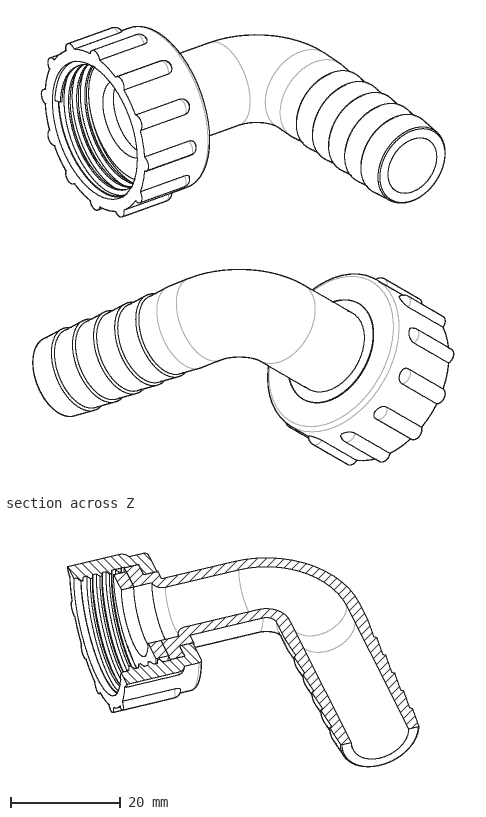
import cadquery as cq
import math


OVERALL_LENGTH = 61.2
DIAGONAL = math.sqrt(0.5)

NUT_RADIUS = 15.5
NUT_LENGTH = 15.0
NUT_EDGE_FILLET = 0.75
MOUTH_RADIUS = 13.15
MOUTH_DEPTH = 1.35
NUT_BORE_RADIUS = 13.0
NUT_BORE_DEPTH = 12.5

RIB_COUNT = 12
RIB_RADIUS = 1.5
RIB_TIP_DIAMETER = 33.25
RIB_TIP_RADIUS = RIB_TIP_DIAMETER / 2
RIB_LENGTH = 10.0
RIB_CENTRE_RADIUS = RIB_TIP_RADIUS - RIB_RADIUS

THREAD_PITCH = 1.85
THREAD_CREST_RADIUS = 12.1
THREAD_CREST_WIDTH = 0.35
THREAD_ROOT_WIDTH = 1.45
THREAD_START = 1.2
THREAD_END = 8.6
THREAD_EMBED = 0.35
THREAD_START_ANGLE = 180

WASHER_RADIUS = 11.9
WASHER_FACE = 7.2
WASHER_THICKNESS = 2.4
WASHER_BACK = WASHER_FACE + WASHER_THICKNESS

PIPE_RADIUS = 8.0
PIPE_BORE_RADIUS = 5.5
INLET_RADIUS = 7.45
INLET_DEPTH = 13.1
INLET_ROUNDING = INLET_RADIUS - PIPE_BORE_RADIUS
COLLAR_RADIUS = 10.1
COLLAR_END = 15.2
BEND_RADIUS = 10.0
TAIL_AXIS_Y = 39.2
BEND_START_Y = TAIL_AXIS_Y - BEND_RADIUS

BARB_COUNT = 6
BARBED_LENGTH = 30.0
BARB_PITCH = BARBED_LENGTH / BARB_COUNT
TAIL_END_X = OVERALL_LENGTH - RIB_TIP_RADIUS
BARB_START_X = TAIL_END_X - BARBED_LENGTH
BARB_VALLEY_RADIUS = 7.6
BARB_STEP_LENGTH = 0.35
TAIL_END_CHAMFER = 0.25


def disc(radius, start, end):
    """Solid cylinder on the Z axis between two heights."""
    return cq.Workplane("XY").workplane(offset=start).circle(radius).extrude(end - start)


def turn_to_inlet_axis(body):
    """Turn a body modelled along +Z so that it runs along +Y."""
    return body.rotate((0, 0, 0), (1, 0, 0), -90)


def make_grip_rib(angle):
    """Round rib along the nut, closed by a dome."""
    rib = disc(RIB_RADIUS, 0, RIB_LENGTH)
    dome = cq.Workplane("XY").sphere(RIB_RADIUS).translate((0, 0, RIB_LENGTH))
    return rib.union(dome).translate((RIB_CENTRE_RADIUS, 0, 0)).rotate((0, 0, 0), (0, 0, 1), angle)


def make_thread_ridge():
    """Helical ridge of trapezoidal section, its root sunk slightly into the bore wall."""
    root_radius = NUT_BORE_RADIUS + THREAD_EMBED
    path = cq.Wire.makeHelix(THREAD_PITCH, THREAD_END - THREAD_START, NUT_BORE_RADIUS)
    section = cq.Workplane("XZ").polyline([
        (root_radius, -THREAD_ROOT_WIDTH / 2),
        (THREAD_CREST_RADIUS, -THREAD_CREST_WIDTH / 2),
        (THREAD_CREST_RADIUS, THREAD_CREST_WIDTH / 2),
        (root_radius, THREAD_ROOT_WIDTH / 2),
    ]).close()
    ridge = section.sweep(cq.Workplane(path), isFrenet=True)
    return ridge.rotate((0, 0, 0), (0, 0, 1), THREAD_START_ANGLE).translate((0, 0, THREAD_START))


def make_nut():
    """Ribbed nut with a threaded bore and a back wall that holds the elbow's flange."""
    nut = disc(NUT_RADIUS, 0, NUT_LENGTH).faces(">Z").edges().fillet(NUT_EDGE_FILLET)
    for index in range(RIB_COUNT):
        nut = nut.union(make_grip_rib(index * 360 / RIB_COUNT))
    nut = nut.cut(disc(MOUTH_RADIUS, 0, MOUTH_DEPTH))
    nut = nut.cut(disc(NUT_BORE_RADIUS, 0, NUT_BORE_DEPTH))
    nut = nut.cut(disc(COLLAR_RADIUS, 0, NUT_LENGTH))
    nut = nut.union(make_thread_ridge())
    return turn_to_inlet_axis(nut)


def make_washer():
    """Flat seal lying against the elbow's flange, its hole flush with the inlet."""
    washer = disc(WASHER_RADIUS, WASHER_FACE, WASHER_BACK)
    hole = disc(INLET_RADIUS, WASHER_FACE, WASHER_BACK)
    return turn_to_inlet_axis(washer.cut(hole))


def sweep_bend(radius, start_y):
    """Round bar along the inlet leg, through the bend, up to the start of the barbs."""
    path = (
        cq.Workplane("XY")
        .moveTo(0, start_y)
        .lineTo(0, BEND_START_Y)
        .threePointArc(
            (BEND_RADIUS * (1 - DIAGONAL), BEND_START_Y + BEND_RADIUS * DIAGONAL),
            (BEND_RADIUS, TAIL_AXIS_Y),
        )
        .lineTo(BARB_START_X, TAIL_AXIS_Y)
    )
    return cq.Workplane("XZ", origin=(0, start_y, 0)).circle(radius).sweep(path)


def make_barbed_tail():
    """Revolved hose tail: each barb tapers toward the free end, then steps back up."""
    outline = cq.Workplane("XY").moveTo(BARB_START_X, 0).lineTo(BARB_START_X, PIPE_RADIUS)
    for index in range(1, BARB_COUNT):
        next_crest = BARB_START_X + index * BARB_PITCH
        outline = outline.lineTo(next_crest - BARB_STEP_LENGTH, BARB_VALLEY_RADIUS)
        outline = outline.lineTo(next_crest, PIPE_RADIUS)
    outline = (
        outline.lineTo(TAIL_END_X - TAIL_END_CHAMFER, BARB_VALLEY_RADIUS)
        .lineTo(TAIL_END_X, BARB_VALLEY_RADIUS - TAIL_END_CHAMFER)
        .lineTo(TAIL_END_X, 0)
        .close()
    )
    tail = outline.revolve(360, (0, 0, 0), (1, 0, 0))
    return tail.translate((0, TAIL_AXIS_Y, 0))


def make_inlet_cut():
    """Wide inlet that narrows to the pipe bore over a convex rounding."""
    throat = INLET_DEPTH + INLET_ROUNDING
    arc_offset = INLET_ROUNDING * DIAGONAL
    profile = (
        cq.Workplane("XZ")
        .moveTo(0, WASHER_BACK)
        .lineTo(INLET_RADIUS, WASHER_BACK)
        .lineTo(INLET_RADIUS, INLET_DEPTH)
        .threePointArc((INLET_RADIUS - arc_offset, throat - arc_offset), (PIPE_BORE_RADIUS, throat))
        .lineTo(0, throat)
        .close()
    )
    return turn_to_inlet_axis(profile.revolve(360, (0, 0, 0), (0, 1, 0)))


def make_elbow():
    """Flanged inlet leg, bend and barbed hose tail, bored right through."""
    flange = disc(NUT_BORE_RADIUS, WASHER_BACK, NUT_BORE_DEPTH)
    collar = disc(COLLAR_RADIUS, NUT_BORE_DEPTH, COLLAR_END)
    elbow = turn_to_inlet_axis(flange.union(collar))
    elbow = elbow.union(sweep_bend(PIPE_RADIUS, WASHER_BACK)).union(make_barbed_tail())
    bore_plane = cq.Workplane("YZ", origin=(BARB_START_X, TAIL_AXIS_Y, 0))
    tail_bore = bore_plane.circle(PIPE_BORE_RADIUS).extrude(TAIL_END_X - BARB_START_X)
    return elbow.cut(sweep_bend(PIPE_BORE_RADIUS, WASHER_BACK)).cut(tail_bore).cut(make_inlet_cut())


elbow = make_elbow()
nut = make_nut()
washer = make_washer()

result = cq.Compound.makeCompound([elbow.val(), nut.val(), washer.val()])